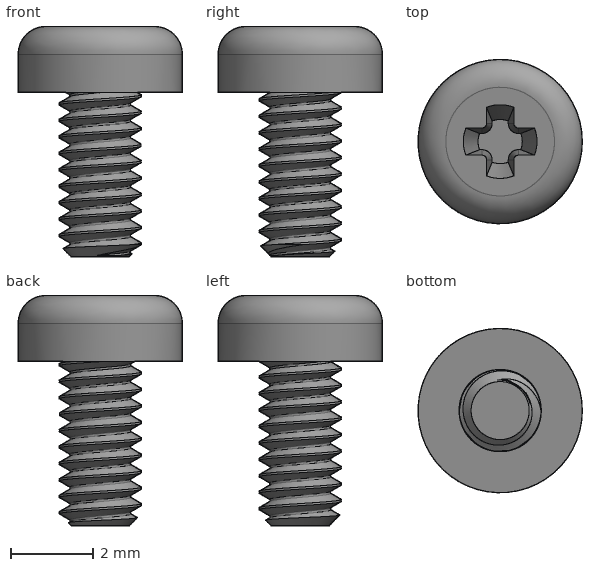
import cadquery as cq
import math

total_height = 5.6
head_diameter = 4.0
shank_diameter = head_diameter / 2
shank_length = 4.0
head_height = total_height - shank_length
head_rounding = 0.68

core_diameter = 1.485
shank_turns = 10
pitch = shank_length / shank_turns
crest_width = pitch / 8
flank_angle = 30.0
crest_drop = 0.085
tip_radius = 0.705
envelope_clearance = 0.055
flank_steps = 6
shank_overlap = 0.11

recess_depth = 1.4
recess_top_radius = 0.895
recess_floor_radius = 0.54
slot_top_width = 0.66
slot_floor_width = 0.39
slot_corner_radius = 0.11


def make_head():
    """Cylindrical head with a rounded upper rim."""
    head = cq.Workplane("XY").circle(head_diameter / 2).extrude(head_height)
    return head.faces(">Z").edges().fillet(head_rounding)


def make_thread():
    """Right-handed thread, made by twisting its level cross-section along the axis."""
    core_radius = core_diameter / 2
    crest_radius = shank_diameter / 2
    flank_height = (crest_radius - core_radius) * math.tan(math.radians(flank_angle))
    crest_half_turn = math.pi * crest_width / pitch
    flank_turn = 2 * math.pi * flank_height / pitch

    def polar(radius, angle):
        return (radius * math.cos(angle), radius * math.sin(angle))

    def flank_point(step):
        fraction = step / flank_steps
        radius = crest_radius + fraction * (core_radius - crest_radius)
        return polar(radius, crest_half_turn + fraction * flank_turn)

    falling_flank = [flank_point(step) for step in range(1, flank_steps + 1)]
    rising_flank = [(x, -y) for x, y in reversed(falling_flank)]
    rising_flank.append(polar(crest_radius, -crest_half_turn))

    start = -crest_drop - (shank_turns + 1) * pitch
    turns = shank_turns + 2
    section = (
        cq.Workplane("XY", origin=(0, 0, start))
        .moveTo(*polar(crest_radius, -crest_half_turn))
        .threePointArc((crest_radius, 0), polar(crest_radius, crest_half_turn))
        .spline(falling_flank, includeCurrent=True)
        .threePointArc((-core_radius, 0), rising_flank[0])
        .spline(rising_flank[1:], includeCurrent=True)
        .wire()
    )
    return section.twistExtrude(turns * pitch, 360 * turns)


def make_shank_envelope():
    """Plain shank with a 45 degree tip, ending inside the head."""
    envelope_radius = shank_diameter / 2 + envelope_clearance
    shank = (
        cq.Workplane("XY")
        .workplane(offset=-shank_length)
        .circle(envelope_radius)
        .extrude(shank_length + shank_overlap)
    )
    return shank.faces("<Z").edges().chamfer(envelope_radius - tip_radius)


def make_recess():
    """Cross with sloping walls, bounded at the arm ends by a cone."""
    wall_taper = math.degrees(math.atan((slot_top_width - slot_floor_width) / 2 / recess_depth))
    cone_taper = math.degrees(math.atan((recess_top_radius - recess_floor_radius) / recess_depth))
    slot_length = head_diameter
    cross = (
        cq.Sketch()
        .rect(slot_length, slot_top_width)
        .rect(slot_top_width, slot_length)
        .clean()
        .reset()
        .vertices(cq.selectors.BoxSelector(
            (-slot_top_width, -slot_top_width, -0.055),
            (slot_top_width, slot_top_width, 0.055),
        ))
        .fillet(slot_corner_radius)
    )
    top = cq.Workplane("XY", origin=(0, 0, head_height))
    tapered_cross = top.placeSketch(cross).extrude(-recess_depth, taper=wall_taper)
    cone = top.circle(recess_top_radius).extrude(-recess_depth, taper=cone_taper)
    return tapered_cross.intersect(cone)


threaded_shank = make_thread().intersect(make_shank_envelope())
result = make_head().union(threaded_shank).cut(make_recess()).solids()